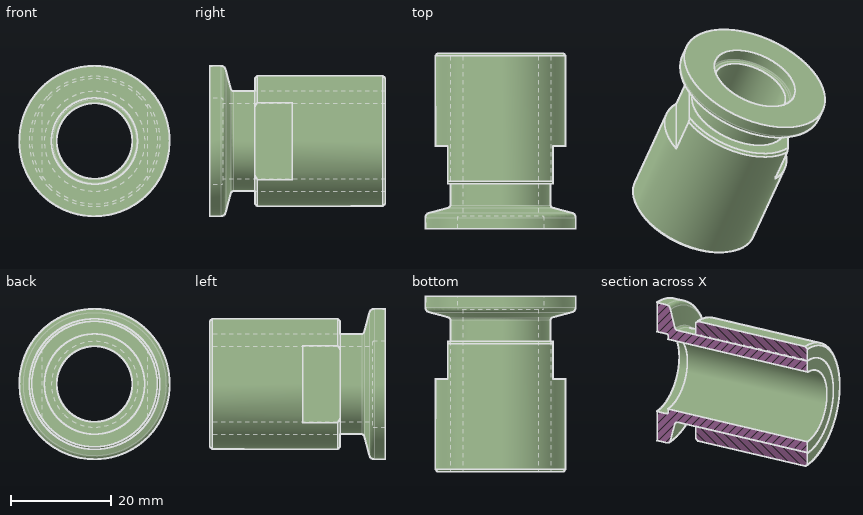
import cadquery as cq
import math

total_length = 35.0

flange_diameter = 30.0
rim_width = 3.0
flange_back_angle = 15.0
rim_fillet = 1.0
neck_diameter = 20.0
neck_fillet = 0.5
bore_diameter = 15.0
recess_diameter = 17.2
recess_depth = 2.6
recess_fillet = 0.28

sleeve_start = 9.0
sleeve_diameter = 26.0
sleeve_chamfer = 0.5
flat_length = 7.5
across_flats = 21.0

sleeve_length = total_length - sleeve_start
flange_radius = flange_diameter / 2
neck_radius = neck_diameter / 2
bore_radius = bore_diameter / 2
recess_radius = recess_diameter / 2


def cylinder(radius, start, length):
    """Solid cylinder along +Y that begins at y = start."""
    axis = cq.Vector(0, 1, 0)
    return cq.Workplane(cq.Solid.makeCylinder(radius, length, cq.Vector(0, start, 0), axis))


def rounded_ring_edge(body, radius, y, fillet):
    """Round the circular edges of the given radius that lie at height y on the axis."""
    tolerance = 0.005
    edges = [
        edge for edge in body.edges("%CIRCLE").vals()
        if abs(edge.Center().y - y) < tolerance and abs(edge.radius() - radius) < tolerance
    ]
    return body.newObject(edges).fillet(fillet)


def make_flanged_tube():
    """Through tube with a tapered clamp flange and a centring recess."""
    taper_rise = (flange_radius - neck_radius) * math.tan(math.radians(flange_back_angle))
    taper_end = rim_width + taper_rise
    body = (
        cq.Workplane("XY")
        .moveTo(bore_radius, recess_depth)
        .lineTo(recess_radius, recess_depth)
        .lineTo(recess_radius, 0)
        .lineTo(flange_radius, 0)
        .lineTo(flange_radius, rim_width)
        .lineTo(neck_radius, taper_end)
        .lineTo(neck_radius, total_length)
        .lineTo(bore_radius, total_length)
        .close()
        .revolve(360, (0, 0, 0), (0, 1, 0))
    )
    body = rounded_ring_edge(body, flange_radius, rim_width, rim_fillet)
    body = rounded_ring_edge(body, neck_radius, taper_end, neck_fillet)
    return rounded_ring_edge(body, recess_radius, recess_depth, recess_fillet)


def make_sleeve():
    """Chamfered sleeve with two wrench flats at its flange end."""
    body = cylinder(sleeve_diameter / 2, sleeve_start, sleeve_length)
    body = body.faces("<Y or >Y").edges().chamfer(sleeve_chamfer)
    for side in (-1, 1):
        cut_width = sleeve_diameter
        flat_cut = cq.Workplane("XY").box(cut_width, flat_length, sleeve_diameter).translate(
            (side * (across_flats + cut_width) / 2, sleeve_start + flat_length / 2, 0)
        )
        body = body.cut(flat_cut)
    return body.cut(cylinder(neck_radius, sleeve_start, sleeve_length))


flanged_tube = make_flanged_tube()
sleeve = make_sleeve()

result = cq.Compound.makeCompound([flanged_tube.val(), sleeve.val()])